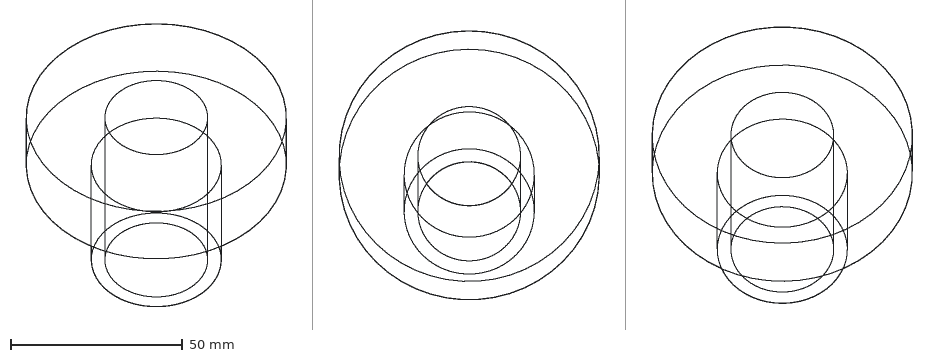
import cadquery as cq

flange_diameter = 76.0
sleeve_diameter = flange_diameter / 2
bore_diameter = 30.0
total_height = 60.0
flange_thickness = total_height / 3
sleeve_length = total_height - flange_thickness

sleeve = cq.Workplane("XY").circle(sleeve_diameter / 2).extrude(sleeve_length)

flanged_sleeve = (
    sleeve.faces(">Z").workplane()
    .circle(flange_diameter / 2)
    .extrude(flange_thickness)
)

result = flanged_sleeve.faces(">Z").workplane().hole(bore_diameter)